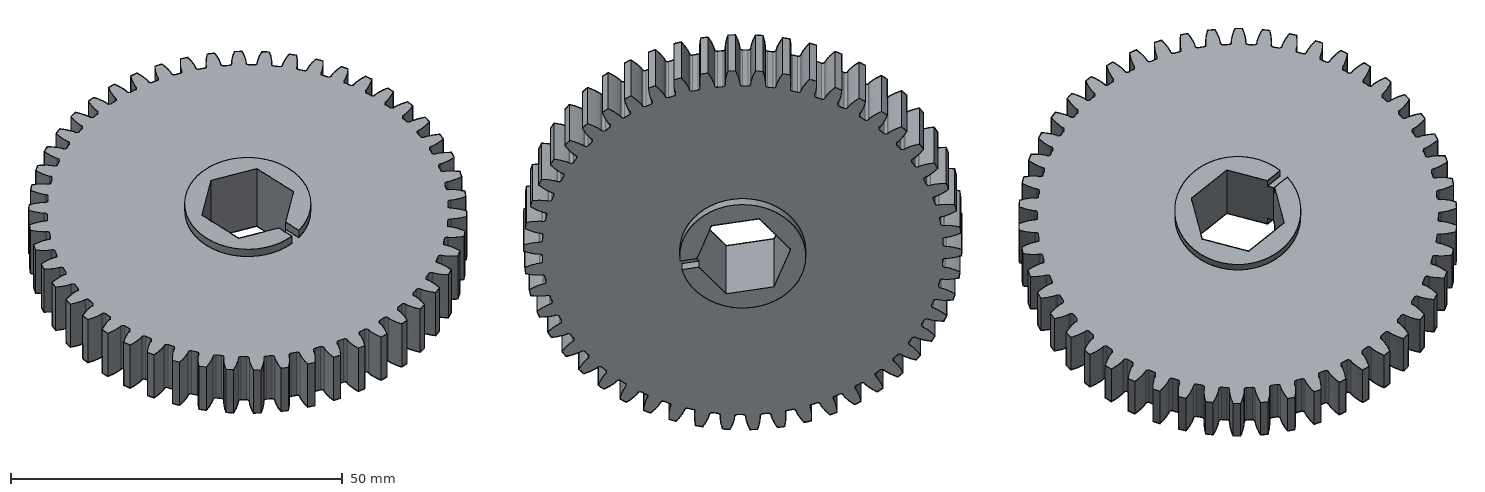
import cadquery as cq
import math

tooth_count = 50
tip_diameter = 66.05
pressure_angle = math.radians(14.5)
tooth_depth_in_modules = 2.2
root_fillet = 0.4
tooth_thinning = 0.05
gear_thickness = 9.5
flank_points = 6

hub_diameter = 19.0
hub_projection = 1.6
hex_across_flats = 12.7
slot_width = 1.6

module = tip_diameter / (tooth_count + 2)
tip_radius = tip_diameter / 2
root_radius = tip_radius - tooth_depth_in_modules * module
pitch_radius = module * tooth_count / 2
base_radius = pitch_radius * math.cos(pressure_angle)
tooth_pitch = 2 * math.pi / tooth_count
pitch_half_angle = tooth_pitch / 4 - tooth_thinning / 2 / pitch_radius
hub_radius = hub_diameter / 2
total_thickness = gear_thickness + 2 * hub_projection


def polar(radius, angle):
    return (radius * math.cos(angle), radius * math.sin(angle))


def involute(angle):
    return math.tan(angle) - angle


def half_tooth_angle(radius):
    """Angle from the tooth centre line to its involute flank at a radius."""
    spread = involute(math.acos(base_radius / radius))
    return pitch_half_angle + involute(pressure_angle) - spread


def gear_body():
    """Toothed disc with one tooth centred on +Y."""
    tip_roll = math.sqrt((tip_radius / base_radius) ** 2 - 1)
    rolls = [tip_roll * i / (flank_points - 1) for i in range(flank_points)]
    radii = [base_radius * math.hypot(1, roll) for roll in rolls]
    base_half_angle = half_tooth_angle(base_radius)
    first_centre = math.pi / 2
    profile = cq.Workplane("XY", origin=(0, 0, -gear_thickness / 2))
    profile = profile.moveTo(*polar(root_radius, first_centre - base_half_angle))
    for i in range(tooth_count):
        centre = first_centre + i * tooth_pitch
        rising = [polar(radius, centre - half_tooth_angle(radius)) for radius in radii]
        falling = [polar(radius, centre + half_tooth_angle(radius)) for radius in reversed(radii)]
        next_centre = centre + tooth_pitch
        profile = (
            profile.lineTo(*rising[0])
            .spline(rising[1:], includeCurrent=True)
            .threePointArc(polar(tip_radius, centre), falling[0])
            .spline(falling[1:], includeCurrent=True)
            .lineTo(*polar(root_radius, centre + base_half_angle))
            .threePointArc(
                polar(root_radius, centre + tooth_pitch / 2),
                polar(root_radius, next_centre - base_half_angle),
            )
        )
    body = profile.close().extrude(gear_thickness)
    mid_radius = (root_radius + base_radius) / 2
    root_edges = body.edges("|Z").filter(
        lambda edge: math.hypot(edge.Center().x, edge.Center().y) < mid_radius
    )
    return root_edges.fillet(root_fillet)


def slotted_hub():
    """Hub projecting from both gear faces, slotted from its axis to its rim."""
    hub = cq.Workplane("XY").circle(hub_radius).extrude(total_thickness / 2, both=True)
    slot = cq.Workplane("XY").box(
        hub_radius, slot_width, total_thickness, centered=(False, True, True)
    )
    return hub.cut(slot)


def hex_bore():
    """Through bore with two corners on the X axis."""
    across_corners = hex_across_flats / math.cos(math.pi / 6)
    return cq.Workplane("XY").polygon(6, across_corners).extrude(total_thickness / 2, both=True)


result = gear_body().union(slotted_hub()).cut(hex_bore())